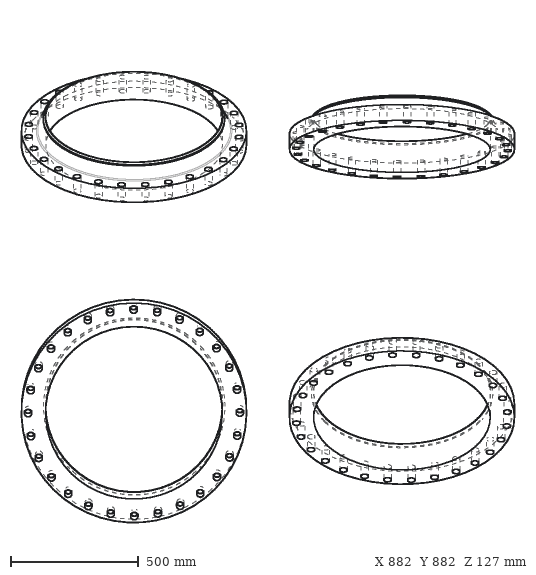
import cadquery as cq

flange_diameter = 882.0
flange_thickness = 64.0
flange_radius = flange_diameter / 2

total_height = 127.0
bore_radius = 346.0
hub_base_radius = 379.0
neck_radius = 356.0
neck_length = 5.0
hub_fillet_radius = 6.0

land_width = 2.0
bevel_height = 6.0

bolt_count = 28
bolt_circle_radius = 415.0
bolt_hole_diameter = 29.0


def flange_body():
    """Revolve the half section of the plate and hub about Z."""
    bevel_start = total_height - bevel_height
    taper_top = bevel_start - neck_length
    section = (
        cq.Workplane("XZ")
        .moveTo(bore_radius, 0)
        .lineTo(flange_radius, 0)
        .lineTo(flange_radius, flange_thickness)
        .lineTo(hub_base_radius, flange_thickness)
        .lineTo(neck_radius, taper_top)
        .lineTo(neck_radius, bevel_start)
        .lineTo(bore_radius + land_width, total_height)
        .lineTo(bore_radius, total_height)
        .close()
    )
    return section.revolve(360, (0, 0, 0), (0, 1, 0))


def fillet_hub_base(body):
    """Round the inner corner where the hub taper meets the plate."""
    margin = 1.0
    reach = hub_base_radius + margin
    corner_zone = cq.selectors.BoxSelector(
        (-reach, -reach, flange_thickness - margin),
        (reach, reach, flange_thickness + margin),
        boundingbox=True,
    )
    return body.edges(corner_zone).edges("%CIRCLE").fillet(hub_fillet_radius)


def bolt_holes():
    """Through-hole cutters equally spaced on the bolt circle, one on +X."""
    return (
        cq.Workplane("XY")
        .polarArray(bolt_circle_radius, 0, 360, bolt_count)
        .circle(bolt_hole_diameter / 2)
        .extrude(flange_thickness)
    )


result = fillet_hub_base(flange_body()).cut(bolt_holes())